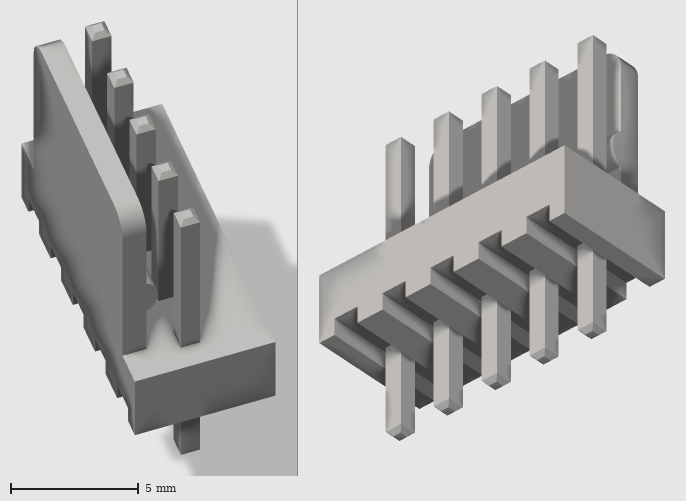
import cadquery as cq


base_width = 12.96
base_depth = 5.9
base_bottom = 3.51
base_top = 6.81

pin_count = 5
pin_pitch = 2.54
pin_size = 0.81
pin_top = 14.4
pin_chamfer = 0.21
pin_y = 2.7
pin_row = [(i - (pin_count - 1) / 2) * pin_pitch for i in range(pin_count)]

notch_width = 1.22
notch_depth = 0.8

wall_width = 10.14
wall_thickness = 1.0
wall_top = 15.0
wall_corner_radius = 0.99

ridge_radius = 0.99
ridge_z = 9.99


def box(x_center, width, y_min, y_max, z_min, z_max):
    """Block centred on x_center, reaching between the given Y and Z limits."""
    corner = (x_center - width / 2, y_min, z_min)
    return cq.Workplane("XY").box(width, y_max - y_min, z_max - z_min, centered=False).translate(corner)


def make_base():
    base = box(0, base_width, 0, base_depth, base_bottom, base_top)
    for x in pin_row:
        notch = box(x, notch_width, 0, base_depth, base_bottom, base_bottom + notch_depth)
        base = base.cut(notch)
    return base


def make_wall():
    wall = box(0, wall_width, 0, wall_thickness, base_bottom + notch_depth, wall_top)
    wall = wall.edges("|Y and >Z").fillet(wall_corner_radius)
    ridge = (
        cq.Workplane("YZ", origin=(-wall_width / 2, 0, 0))
        .center(wall_thickness / 2, ridge_z)
        .circle(ridge_radius)
        .extrude(wall_width)
    )
    rear_half = box(
        0, wall_width,
        wall_thickness / 2, wall_thickness / 2 + ridge_radius,
        ridge_z - ridge_radius, ridge_z + ridge_radius,
    )
    return wall.union(ridge.intersect(rear_half))


def make_pin(x):
    pin = box(x, pin_size, pin_y - pin_size / 2, pin_y + pin_size / 2, 0, pin_top)
    return pin.faces("<Z or >Z").chamfer(pin_chamfer)


result = make_base().union(make_wall())
for x in pin_row:
    result = result.union(make_pin(x))